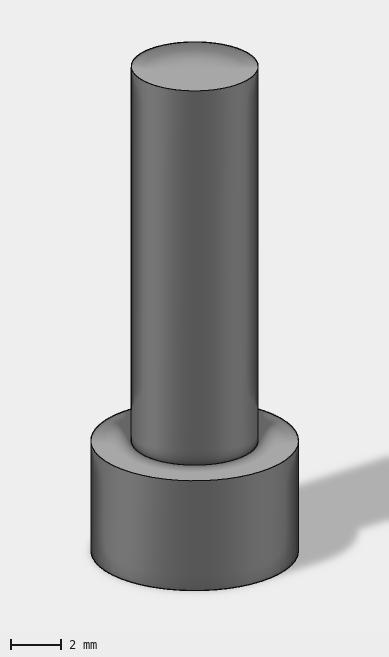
import cadquery as cq

total_length = 20.7
head_diameter = 8.2
head_height = 4.7
shank_diameter = 5.0
shank_length = total_length - head_height

head = cq.Workplane("XY").circle(head_diameter / 2).extrude(head_height)

result = head.faces(">Z").workplane().circle(shank_diameter / 2).extrude(shank_length)